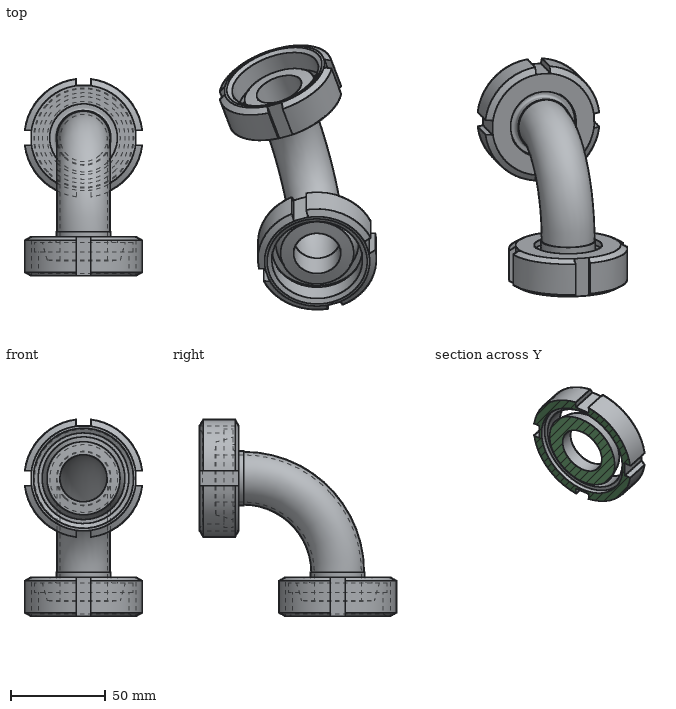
import cadquery as cq
import math

overall_size = 104.8

nut_diameter = 63.1
nut_length = 21.0
nut_face_diameter = 55.9
nut_chamfer_angle = 30.0
nut_bore_diameter = 48.2
nut_mouth_diameter = 53.2
undercut_diameter = 52.4
undercut_depth = 12.8
nut_lip_thickness = 3.1
lip_hole_diameter = 36.0
slot_width = 8.0
slot_floor_radius = 27.9
slot_count = 4

pipe_bore_diameter = 25.0
liner_face_depth = 8.1
liner_face_diameter = 38.9
liner_shoulder_diameter = 44.0
liner_collar_diameter = 29.0
liner_collar_fillet = 1.5
liner_rim_diameter = 26.9
liner_face_setback = 0.5
collar_overhang = 2.5

pipe_diameter = 28.3

nut_radius = nut_diameter / 2
nut_face_radius = nut_face_diameter / 2
nut_bore_radius = nut_bore_diameter / 2
nut_mouth_radius = nut_mouth_diameter / 2
chamfer_slope = math.tan(math.radians(nut_chamfer_angle))
outer_chamfer_length = (nut_radius - nut_face_radius) * chamfer_slope
mouth_chamfer_length = (nut_mouth_radius - nut_bore_radius) * chamfer_slope
lip_depth = nut_length - nut_lip_thickness
fitting_length = nut_length + collar_overhang

nut_reach = math.sqrt(nut_radius**2 - (slot_width / 2) ** 2)
bend_radius = overall_size - nut_reach - fitting_length
corner_offset = fitting_length + bend_radius


def revolve_profile(points):
    """Revolve a closed (radius, height) outline about the Z axis."""
    outline = cq.Workplane("XZ").polyline(points).close()
    return outline.revolve(360, (0, 0, 0), (0, 1, 0))


def make_nut():
    """Nut along Z with its open front face at Z = 0."""
    undercut_radius = undercut_diameter / 2
    lip_hole_radius = lip_hole_diameter / 2
    nut = revolve_profile([
        (nut_mouth_radius, 0),
        (nut_face_radius, 0),
        (nut_radius, outer_chamfer_length),
        (nut_radius, nut_length - outer_chamfer_length),
        (nut_face_radius, nut_length),
        (lip_hole_radius, nut_length),
        (lip_hole_radius, lip_depth),
        (undercut_radius, lip_depth),
        (undercut_radius, undercut_depth),
        (nut_bore_radius, undercut_depth),
        (nut_bore_radius, mouth_chamfer_length),
    ])
    slot = cq.Workplane("XY").box(nut_radius, slot_width, nut_length, centered=(False, True, False))
    slot = slot.translate((slot_floor_radius, 0, 0))
    for index in range(slot_count):
        nut = nut.cut(slot.rotate((0, 0, 0), (0, 0, 1), index * 360 / slot_count))
    return nut


def make_liner():
    """Liner along Z, placed relative to a nut whose front face is at Z = 0."""
    bore_radius = pipe_bore_diameter / 2
    collar_radius = liner_collar_diameter / 2
    shoulder_radius = liner_shoulder_diameter / 2
    fillet_turn = liner_collar_fillet * (1 - math.sqrt(0.5))
    outline = (
        cq.Workplane("XZ")
        .moveTo(bore_radius, liner_face_depth)
        .lineTo(liner_rim_diameter / 2, liner_face_depth)
        .lineTo(liner_face_diameter / 2, liner_face_depth + liner_face_setback)
        .lineTo(shoulder_radius, lip_depth)
        .lineTo(collar_radius + liner_collar_fillet, lip_depth)
        .threePointArc(
            (collar_radius + fillet_turn, lip_depth + fillet_turn),
            (collar_radius, lip_depth + liner_collar_fillet),
        )
        .lineTo(collar_radius, fitting_length)
        .lineTo(bore_radius, fitting_length)
        .close()
    )
    return outline.revolve(360, (0, 0, 0), (0, 1, 0))


def make_bend():
    """Quarter-turn pipe from the upright liner to the horizontal one."""
    section = (
        cq.Workplane("XY")
        .workplane(offset=fitting_length)
        .circle(pipe_diameter / 2)
        .circle(pipe_bore_diameter / 2)
    )
    return section.revolve(90, (0, -bend_radius, 0), (1, -bend_radius, 0))


def lay_horizontal(body):
    """Turn an upright fitting body so that its front faces -Y at the bend's upper end."""
    turned = body.rotate((0, 0, 0), (1, 0, 0), -90)
    return turned.translate((0, -corner_offset, corner_offset))


bend = make_bend()
fitting_bodies = []
for make_body in (make_nut, make_liner):
    fitting_bodies.append(make_body().val())
    fitting_bodies.append(lay_horizontal(make_body()).val())

result = cq.Compound.makeCompound([bend.val(), *fitting_bodies])